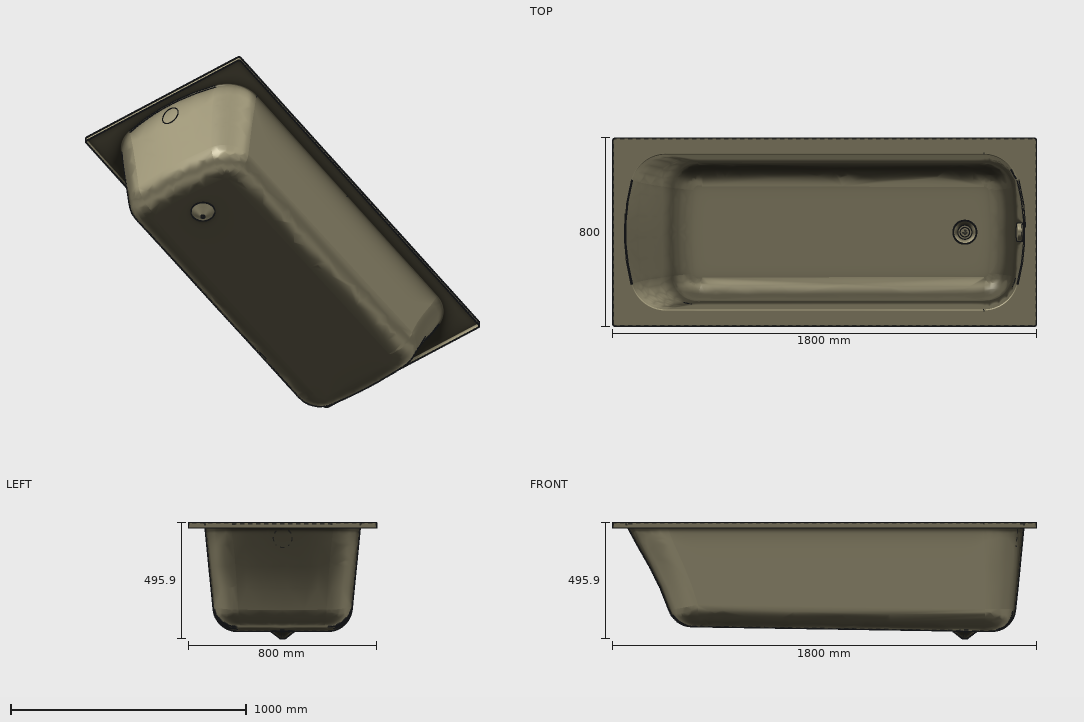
import cadquery as cq
import math

LENGTH = 1800.0
WIDTH = 800.0
SKIRT_HEIGHT = 25.0
SHEET = 3.5
RIM_CORNER_RADIUS = 12.0
RIM_EDGE_RADIUS = 4.0
OPENING_EDGE_RADIUS = 5.0

OPENING_HALF_WIDTH = 332.5
HEAD_END = -849.0
FOOT_END = 849.0
HEAD_SLOPE = 0.55
HEAD_LOWER_SLOPE = 0.31
HEAD_BEND_DEPTH = 295.0
FOOT_SLOPE = 0.10
SIDE_SLOPE = 0.10
WALL_DEPTH = 490.0
SECTION_DEPTHS = [0.0, 120.0, 235.0, 355.0, WALL_DEPTH]
TOP_CORNER_RADIUS = 150.0
BOTTOM_CORNER_RADIUS = 112.0
TOP_END_RADIUS = 850.0
BOTTOM_END_RADIUS = 2000.0
FLOOR_DEPTH = 453.0
FLOOR_FALL = 0.016
FLOOR_EDGE_RADIUS = 105.0

TOTAL_HEIGHT = 495.9
DRAIN_X = 595.0
CUP_RADIUS = 51.0
CUP_SHOULDER_RADIUS = 33.0
CUP_SHOULDER_DROP = 14.0
CUP_TIP_RADIUS = 9.0
CUP_WALL = 3.0
CUP_LIP_PROJECTION = 1.0
PLUG_RADIUS = 30.0
PLUG_THICKNESS = 8.0
PLUG_BUTTON_RADIUS = 20.0
PLUG_BUTTON_HEIGHT = 3.0
PLUG_STEM_RADIUS = 5.0
PLUG_EDGE_RADIUS = 2.0

COVER_RADIUS = 40.0
COVER_DEPTH = 67.0
COVER_THICKNESS = 23.0
COVER_EDGE_RADIUS = 4.0


def bowl_section(depth, inset):
    """Closed plan outline of the bowl at one depth: straight sides, bowed ends, round corners."""
    share = depth / WALL_DEPTH
    upper = min(depth, HEAD_BEND_DEPTH)
    head = HEAD_END + HEAD_SLOPE * upper + HEAD_LOWER_SLOPE * (depth - upper) + inset
    foot = FOOT_END - FOOT_SLOPE * depth - inset
    half_width = OPENING_HALF_WIDTH - SIDE_SLOPE * depth - inset
    corner = TOP_CORNER_RADIUS + share * (BOTTOM_CORNER_RADIUS - TOP_CORNER_RADIUS) - inset
    bow = TOP_END_RADIUS + share * (BOTTOM_END_RADIUS - TOP_END_RADIUS) - inset

    corner_y = half_width - corner
    reach = math.sqrt((bow - corner) ** 2 - corner_y**2)
    tilt = math.atan2(corner_y, reach)
    middle = (tilt + math.pi / 2) / 2

    def corner_points(end, direction):
        """Joint with the end, arc middle and joint with the side, in the +Y half."""
        corner_x = end - direction * (bow - reach)
        angles = (tilt, middle, math.pi / 2)
        return [
            (corner_x + direction * corner * math.cos(a), corner_y + corner * math.sin(a))
            for a in angles
        ]

    def mirrored(point):
        return (point[0], -point[1])

    foot_joint, foot_mid, foot_side = corner_points(foot, 1)
    head_joint, head_mid, head_side = corner_points(head, -1)
    return (
        cq.Workplane("XY", origin=(0, 0, -depth))
        .moveTo(*mirrored(foot_joint))
        .threePointArc((foot, 0), foot_joint)
        .threePointArc(foot_mid, foot_side)
        .lineTo(*head_side)
        .threePointArc(head_mid, head_joint)
        .threePointArc((head, 0), mirrored(head_joint))
        .threePointArc(mirrored(head_mid), mirrored(head_side))
        .lineTo(*mirrored(foot_side))
        .threePointArc(mirrored(foot_mid), mirrored(foot_joint))
        .close()
        .val()
    )


def floor_depth(x, inset=0.0):
    return FLOOR_DEPTH + FLOOR_FALL * x - inset


def bowl(inset):
    """Solid filling the bowl; the inset moves its walls and floor inwards."""
    walls = cq.Workplane(cq.Solid.makeLoft([bowl_section(d, inset) for d in SECTION_DEPTHS]))
    half = LENGTH / 2
    below_floor = (
        cq.Workplane("XZ")
        .moveTo(-half, -floor_depth(-half, inset))
        .lineTo(half, -floor_depth(half, inset))
        .lineTo(half, -2 * WALL_DEPTH)
        .lineTo(-half, -2 * WALL_DEPTH)
        .close()
        .extrude(half, both=True)
    )
    return walls.cut(below_floor).faces("<Z").edges().fillet(FLOOR_EDGE_RADIUS - inset)


def rim_block(inset, height, top):
    return (
        cq.Workplane("XY", origin=(0, 0, top))
        .rect(LENGTH - 2 * inset, WIDTH - 2 * inset)
        .extrude(-height)
        .edges("|Z")
        .fillet(RIM_CORNER_RADIUS - inset)
        .faces(">Z")
        .edges()
        .fillet(RIM_EDGE_RADIUS - inset)
    )


cavity = bowl(SHEET)


def make_tub():
    outside = bowl(0.0)
    rim = rim_block(0.0, SKIRT_HEIGHT, 0.0).cut(rim_block(SHEET, SKIRT_HEIGHT, -SHEET))
    tub = rim.union(outside).cut(cavity)
    opening = cq.selectors.BoxSelector(
        (HEAD_END, -OPENING_HALF_WIDTH, -SHEET), (FOOT_END, OPENING_HALF_WIDTH, SHEET)
    )
    tub = tub.edges(opening).fillet(OPENING_EDGE_RADIUS)
    drain_hole = cq.Workplane("XY", origin=(DRAIN_X, 0, -TOTAL_HEIGHT)).circle(CUP_RADIUS)
    return tub.cut(drain_hole.extrude(FLOOR_DEPTH / 2))


LIP_Z = -floor_depth(DRAIN_X, SHEET)
CUP_BASE_Z = -TOTAL_HEIGHT
LIP_BOTTOM_Z = -floor_depth(DRAIN_X) - CUP_LIP_PROJECTION
SHOULDER_Z = LIP_BOTTOM_Z - CUP_SHOULDER_DROP
PLUG_BOTTOM_Z = LIP_Z - PLUG_THICKNESS


def make_drain_cup():
    """Funnel with a flat lip, turned about the drain axis."""
    return (
        cq.Workplane("XZ", origin=(DRAIN_X, 0, 0))
        .moveTo(0, CUP_BASE_Z)
        .lineTo(CUP_TIP_RADIUS, CUP_BASE_Z)
        .lineTo(CUP_SHOULDER_RADIUS, SHOULDER_Z)
        .lineTo(CUP_RADIUS, LIP_BOTTOM_Z)
        .lineTo(CUP_RADIUS, LIP_Z)
        .lineTo(CUP_RADIUS - CUP_WALL, LIP_Z)
        .lineTo(CUP_SHOULDER_RADIUS, SHOULDER_Z + CUP_WALL)
        .lineTo(CUP_TIP_RADIUS, CUP_BASE_Z + CUP_WALL)
        .lineTo(0, CUP_BASE_Z + CUP_WALL)
        .close()
        .revolve(360, (0, 0, 0), (0, 1, 0))
    )


def make_drain_plug():
    """Round plug on a stem that stands on the bottom of the cup."""
    stem_height = PLUG_BOTTOM_Z - CUP_BASE_Z - CUP_WALL
    disc = (
        cq.Workplane("XY", origin=(DRAIN_X, 0, PLUG_BOTTOM_Z))
        .circle(PLUG_RADIUS)
        .extrude(PLUG_THICKNESS)
        .faces(">Z")
        .edges()
        .fillet(PLUG_EDGE_RADIUS)
    )
    button = disc.faces(">Z").workplane().circle(PLUG_BUTTON_RADIUS).extrude(PLUG_BUTTON_HEIGHT)
    return button.faces("<Z").workplane().circle(PLUG_STEM_RADIUS).extrude(stem_height)


def make_overflow_cover():
    """Round cover square to the foot wall, with its back trimmed to the wall's surface."""
    wall_x = FOOT_END - SHEET - FOOT_SLOPE * COVER_DEPTH
    facing = cq.Vector(-1, 0, FOOT_SLOPE)
    plane = cq.Plane(origin=(wall_x, 0, -COVER_DEPTH), xDir=(0, 1, 0), normal=facing)
    cover = (
        cq.Workplane(plane)
        .circle(COVER_RADIUS)
        .extrude(COVER_THICKNESS, both=True)
        .faces("<X")
        .edges()
        .fillet(COVER_EDGE_RADIUS)
    )
    return cover.intersect(cavity)


tub = make_tub()
drain_cup = make_drain_cup()
drain_plug = make_drain_plug()
overflow_cover = make_overflow_cover()

result = cq.Compound.makeCompound(
    [tub.val(), drain_cup.val(), drain_plug.val(), overflow_cover.val()]
)